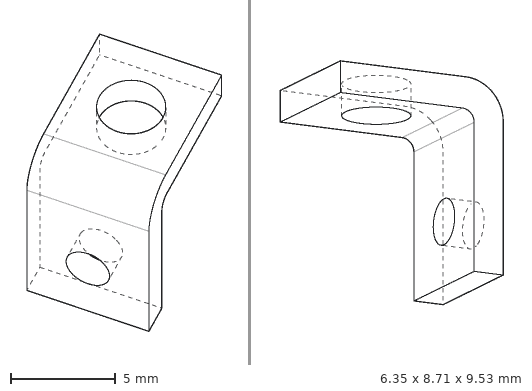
import cadquery as cq

width = 6.35
depth = 8.71
height = 9.53

thickness = 1.56
outer_bend_radius = 2.0
inner_bend_radius = 0.63

top_hole_diameter = 3.3
top_hole_from_end = 3.53
front_hole_diameter = 2.26
front_hole_from_end = 3.17


def bent_sheet():
    """L-shaped bracket with its front face at Y = 0 and its lower end at Z = 0."""
    profile = (
        cq.Workplane("YZ")
        .polyline([
            (0, 0),
            (0, height),
            (depth, height),
            (depth, height - thickness),
            (thickness, height - thickness),
            (thickness, 0),
        ])
        .close()
    )
    sheet = profile.extrude(width / 2, both=True)
    outer_corner = cq.selectors.NearestToPointSelector((0, 0, height))
    inner_corner = cq.selectors.NearestToPointSelector((0, thickness, height - thickness))
    sheet = sheet.edges("|X").edges(outer_corner).fillet(outer_bend_radius)
    return sheet.edges("|X").edges(inner_corner).fillet(inner_bend_radius)


def top_hole():
    """Vertical cylinder through the horizontal leg."""
    return (
        cq.Workplane("XY", origin=(0, depth - top_hole_from_end, height - thickness))
        .circle(top_hole_diameter / 2)
        .extrude(thickness)
    )


def front_hole():
    """Cylinder along Y through the vertical leg."""
    return (
        cq.Workplane("XZ", origin=(0, thickness, front_hole_from_end))
        .circle(front_hole_diameter / 2)
        .extrude(thickness)
    )


result = bent_sheet().cut(top_hole()).cut(front_hole())